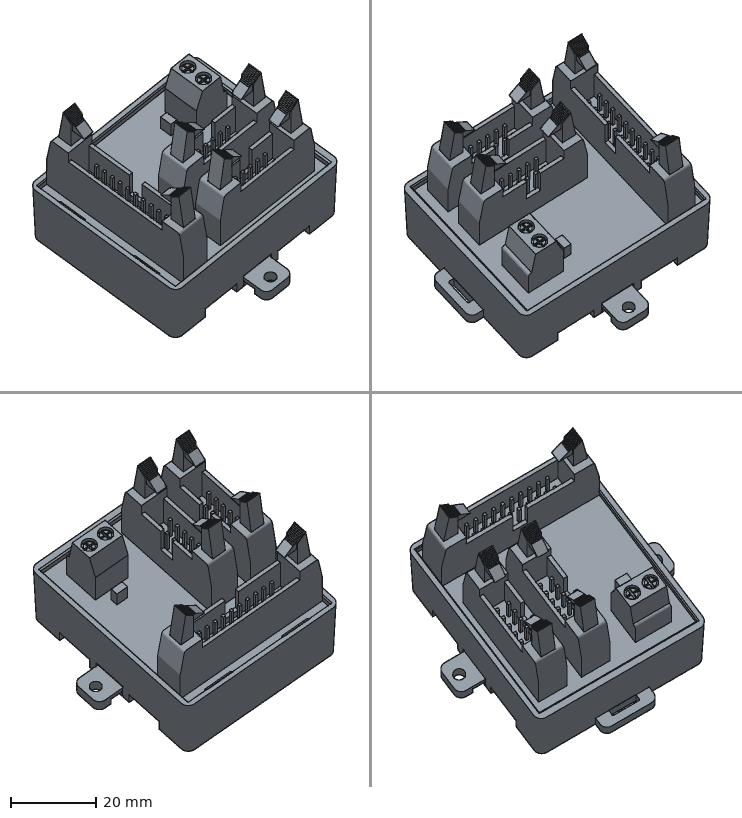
import cadquery as cq
import math

BOX_X = 47.75
BOX_Y = 56.05
BOX_H = 18.1
WALL_DRAFT = 0.45
CORNER_R = 2.2
FLOOR_TOP = 4.5

MOUTH_X = 45.1
MOUTH_FRONT = -26.75
MOUTH_BACK = 26.3
FLARE_H = 0.45

PLATE_X = 44.5
PLATE_FRONT = -26.5
PLATE_BACK = 25.9
PLATE_TOP = 16.25
PLATE_T = 1.55

LUG_WIDTH = 8.1
LUG_X = 12.1
LUG_TIP_Y = -25.25
LUG_RISE = 1.35

FOOT_Y = 0.1
RAIL_H = 3.0
LEG_HALF = 7.0
RAIL_HALF = 17.7

HOOK_WIDTH = 15.15
FIXED_HOOK_REACH = 2.7
FIXED_HOOK_TOP = 1.5
FIXED_HOOK_TIP = 0.85
CLIP_END_Y = 31.5
CLIP_HOOK_REACH = 1.85
CLIP_HOOK_TOP = 1.65
CLIP_HOOK_CHAMFER = 0.8
CLIP_WINDOW_X = 7.65
CLIP_WINDOW_Y0 = 27.6
CLIP_WINDOW_Y1 = 29.3
CLIP_WINDOW_R = 0.3

TAB_END_X = 30.8
TAB_WIDTH = 9.0
TAB_R = 2.0
TAB_HOLE_D = 3.0
TAB_HOLE_X = 27.7
TAB_NOTCH_X = 26.85
TAB_NOTCH_H = 1.7
TAB_NOTCH_DEPTH = 1.1
RECESS_WIDTH = 9.5
RECESS_TOP = 3.9
RECESS_DEPTH = 0.5

HEADER_W = 8.0
SMALL_HEADER_L = 32.05
SMALL_HEADER_COLUMNS = 5
SMALL_HEADER_Y = 6.8
SMALL_HEADER_XS = (4.3, 16.4)
LARGE_HEADER_L = PLATE_X
LARGE_HEADER_COLUMNS = 10
LARGE_HEADER_Y = -19.65
TAPER_START_Z = 25.3
TOWER_TOP = 33.15
TOWER_TAPER = 1.35
TOWER_L = 7.0
TOWER_R = 1.05
HEADER_WALL = 1.05
HEADER_WALL_TOP = 29.95
HEADER_FLOOR = 21.05
KEY_FLOOR = 23.05
KEY_WIDTH = 4.1
PIN_PITCH = 2.5
PIN_ROW_GAP = 3.2
PIN_SIZE = 0.75
PIN_TOP = 27.05

LEVER_WIDTH = 4.0
LEVER_FOOT = 2.0
LEVER_TIP = 3.45
LEVER_BACK = 6.0
LEVER_TOP = 43.25
BEAK_WIDTH = 3.1
BEAK_END = 9.8
BEAK_Z = 38.3
LATCH_SLOPE = (LEVER_TOP - BEAK_Z) / (BEAK_END - LEVER_TIP)
GRIP_STEPS = 10
GRIP_START = 0.25
GRIP_LENGTH = 3.3
GRIP_DEPTH = 0.25

TERMINAL_X0 = -17.6
TERMINAL_X1 = -7.4
TERMINAL_FRONT = 11.7
TERMINAL_BACK = 22.05
TERMINAL_TOP = 30.2
TERMINAL_TOP_FRONT = 13.8
TERMINAL_TOP_BACK = 19.9
FRONT_SLOPE_Z = 24.75
STEP_Z = 23.7
STEP_R = 1.0
SCREW_PITCH = 5.1
SCREW_Y = 16.8
SCREW_D = 3.8
SCREW_SINK = 0.6
SCREW_CROWN = 0.4
SCREW_BEVEL = 0.5
SLOT_WIDE = 0.6
SLOT_NARROW = 0.45
SLOT_DEPTH = 0.6

LAMP_X = 3.3
LAMP_Y = 2.05
LAMP_CENTER = (-13.1, 8.3)
LAMP_TOP = 20.3


def block(x0, x1, y0, y1, z0, z1):
    """Axis-aligned box between two corners."""
    return cq.Workplane("XY").box(x1 - x0, y1 - y0, z1 - z0, centered=False).translate((x0, y0, z0))


def prism_along_x(points, x0, x1):
    """Extrude a (y, z) polygon from x0 to x1."""
    return cq.Workplane("YZ").polyline(points).close().extrude(x1 - x0).translate((x0, 0, 0))


def prism_along_y(points, y_center, width):
    """Extrude an (x, z) polygon to both sides of y_center."""
    profile = cq.Workplane("XZ").polyline(points).close()
    return profile.extrude(width / 2, both=True).translate((0, y_center, 0))


def mirror_x(shape):
    return shape.mirror("YZ")


def drafted_box():
    bottom = cq.Sketch().rect(BOX_X - 2 * WALL_DRAFT, BOX_Y - 2 * WALL_DRAFT).vertices().fillet(CORNER_R)
    rim = cq.Sketch().rect(BOX_X, BOX_Y).vertices().fillet(CORNER_R)
    return cq.Workplane("XY").placeSketch(bottom, rim.moved(cq.Location(cq.Vector(0, 0, BOX_H)))).loft()


def cavity():
    """Straight pocket that flares into a bevelled mouth at the rim."""
    flare_z = BOX_H - FLARE_H
    pocket = block(-PLATE_X / 2, PLATE_X / 2, PLATE_FRONT, PLATE_BACK, FLOOR_TOP, flare_z)
    flare = (
        cq.Workplane("XY", origin=(0, 0, flare_z))
        .center(0, (PLATE_FRONT + PLATE_BACK) / 2)
        .rect(PLATE_X, PLATE_BACK - PLATE_FRONT)
        .workplane(offset=FLARE_H)
        .center(0, (MOUTH_FRONT + MOUTH_BACK - PLATE_FRONT - PLATE_BACK) / 2)
        .rect(MOUTH_X, MOUTH_BACK - MOUTH_FRONT)
        .loft(ruled=True)
    )
    return pocket.union(flare)


def snap_lug(x_center):
    """Wedge that overhangs the plate's front edge."""
    wedge = [(MOUTH_FRONT, PLATE_TOP), (LUG_TIP_Y, PLATE_TOP), (MOUTH_FRONT, PLATE_TOP + LUG_RISE)]
    return prism_along_x(wedge, x_center - LUG_WIDTH / 2, x_center + LUG_WIDTH / 2)


def rail_channel(side):
    """Channel across the whole underside, on the +Y (1) or -Y (-1) side of the foot."""
    near, far = sorted((FOOT_Y + side * LEG_HALF, FOOT_Y + side * RAIL_HALF))
    return block(-BOX_X / 2, BOX_X / 2, near, far, 0, RAIL_H)


def fixed_hook():
    root = FOOT_Y - RAIL_HALF
    tip = root + FIXED_HOOK_REACH
    points = [(root, 0), (tip, FIXED_HOOK_TIP), (tip, FIXED_HOOK_TOP), (root, FIXED_HOOK_TOP)]
    return prism_along_x(points, -HOOK_WIDTH / 2, HOOK_WIDTH / 2)


def clip_slot():
    return block(-HOOK_WIDTH / 2, HOOK_WIDTH / 2, FOOT_Y + RAIL_HALF, BOX_Y / 2, 0, RAIL_H)


def tab_recess():
    """Shallow wall recess around the left tab, with a sloping ceiling."""
    wall = -BOX_X / 2
    inner = wall + WALL_DRAFT + RECESS_DEPTH
    ceiling_x = wall + WALL_DRAFT * (1 - RECESS_TOP / BOX_H)
    points = [(wall, 0), (inner, 0), (inner, RAIL_H), (ceiling_x, RECESS_TOP), (wall, RECESS_TOP)]
    return prism_along_y(points, FOOT_Y, RECESS_WIDTH)


def side_tab():
    """Left mounting tab with its screw hole and the two undercut side notches."""
    y0 = FOOT_Y - TAB_WIDTH / 2
    y1 = FOOT_Y + TAB_WIDTH / 2
    tab = block(-TAB_END_X, -PLATE_X / 2, y0, y1, 0, RAIL_H).edges("|Z and <X").fillet(TAB_R)
    hole = cq.Workplane("XY").center(-TAB_HOLE_X, FOOT_Y).circle(TAB_HOLE_D / 2).extrude(RAIL_H)
    tab = tab.cut(hole)
    for y in (y0, y1 - TAB_NOTCH_DEPTH):
        tab = tab.cut(block(-TAB_NOTCH_X, -BOX_X / 2 + WALL_DRAFT, y, y + TAB_NOTCH_DEPTH, 0, TAB_NOTCH_H))
    return tab


def make_housing():
    housing = drafted_box().cut(cavity())
    for side in (-1, 1):
        housing = housing.union(snap_lug(side * LUG_X))
        housing = housing.cut(rail_channel(side))
    housing = housing.cut(clip_slot()).union(fixed_hook())
    recess = tab_recess()
    tab = side_tab()
    housing = housing.cut(recess).cut(mirror_x(recess))
    return housing.union(tab).union(mirror_x(tab))


def make_clip():
    root = FOOT_Y + RAIL_HALF
    tip = root - CLIP_HOOK_REACH
    half = HOOK_WIDTH / 2
    clip = block(-half, half, root, CLIP_END_Y, 0, RAIL_H).edges("|Z and >Y").fillet(TAB_R)
    hook_points = [
        (root, 0),
        (tip + CLIP_HOOK_CHAMFER, 0),
        (tip, CLIP_HOOK_CHAMFER),
        (tip, CLIP_HOOK_TOP),
        (root, CLIP_HOOK_TOP),
    ]
    window = block(-CLIP_WINDOW_X / 2, CLIP_WINDOW_X / 2, CLIP_WINDOW_Y0, CLIP_WINDOW_Y1, 0, RAIL_H)
    window = window.edges("|Z and >Y").fillet(CLIP_WINDOW_R)
    return clip.union(prism_along_x(hook_points, -half, half)).cut(window)


def grip_grooves(end):
    """V grooves across the upper part of the latch slope."""
    pitch = GRIP_LENGTH / GRIP_STEPS
    grooves = cq.Workplane("XZ")
    for i in range(GRIP_STEPS):
        start = GRIP_START + i * pitch
        x0 = end + LEVER_TIP + start
        z0 = LEVER_TOP - LATCH_SLOPE * start
        drop = LATCH_SLOPE * pitch
        triangle = [
            (x0, z0),
            (x0 + pitch, z0 - drop),
            (x0 + pitch / 2, z0 - drop / 2 - GRIP_DEPTH),
        ]
        grooves = grooves.polyline(triangle).close()
    return grooves.extrude(LEVER_WIDTH / 2, both=True)


def latch(end):
    """Lever with an inward beak, rooted in the tower at the -X end of a header."""
    back_x = end + LEVER_BACK
    back_z = LEVER_TOP - LATCH_SLOPE * (LEVER_BACK - LEVER_TIP)
    lever_points = [
        (end + LEVER_FOOT, HEADER_WALL_TOP),
        (back_x, HEADER_WALL_TOP),
        (back_x, back_z),
        (end + LEVER_TIP, LEVER_TOP),
        (end + LEVER_FOOT, TOWER_TOP),
    ]
    beak_points = [(back_x, BEAK_Z), (end + BEAK_END, BEAK_Z), (back_x, back_z)]
    lever = prism_along_y(lever_points, 0, LEVER_WIDTH).union(prism_along_y(beak_points, 0, BEAK_WIDTH))
    return lever.cut(grip_grooves(end))


def header(length, columns):
    """Latching pin header lying along X, centred on the origin, with its key slot on the +Y side."""
    end = -length / 2
    shoulder = end + TOWER_TAPER
    outline = [
        (end, PLATE_TOP),
        (-end, PLATE_TOP),
        (-end, TAPER_START_Z),
        (-shoulder, TOWER_TOP),
        (shoulder, TOWER_TOP),
        (end, TAPER_START_Z),
    ]
    body = prism_along_y(outline, 0, HEADER_W)
    body = body.faces(">Z").edges("|Y").fillet(TOWER_R)

    inner = length / 2 - TOWER_L
    half_w = HEADER_W / 2
    cavity_half = half_w - HEADER_WALL
    body = body.cut(block(-inner, inner, -half_w, half_w, HEADER_WALL_TOP, TOWER_TOP))
    body = body.cut(block(-inner, inner, -cavity_half, cavity_half, HEADER_FLOOR, HEADER_WALL_TOP))
    body = body.cut(block(-KEY_WIDTH / 2, KEY_WIDTH / 2, 0, half_w, KEY_FLOOR, HEADER_WALL_TOP))

    pins = (
        cq.Workplane("XY", origin=(0, 0, HEADER_FLOOR))
        .rarray(PIN_PITCH, PIN_ROW_GAP, columns, 2)
        .rect(PIN_SIZE, PIN_SIZE)
        .extrude(PIN_TOP - HEADER_FLOOR)
    )
    left_latch = latch(end)
    return body.union(pins).union(left_latch).union(mirror_x(left_latch))


def screw_recess(x):
    """Round recess that leaves a bevelled, cross-slotted screw head at its bottom."""
    crown_z = TERMINAL_TOP - SCREW_SINK
    edge_z = crown_z - SCREW_CROWN
    radius = SCREW_D / 2
    recess = cq.Workplane("XY", origin=(x, SCREW_Y, edge_z)).circle(radius).extrude(TERMINAL_TOP - edge_z)
    head = (
        cq.Workplane("XY", origin=(x, SCREW_Y, edge_z))
        .circle(radius)
        .workplane(offset=SCREW_CROWN)
        .circle(radius - SCREW_BEVEL)
        .loft()
    )
    slot_plane = cq.Workplane("XY", origin=(x, SCREW_Y, crown_z - SLOT_DEPTH))
    long_slot = slot_plane.rect(SLOT_WIDE, SCREW_D).extrude(SLOT_DEPTH)
    cross_slot = slot_plane.rect(SCREW_D, SLOT_NARROW).extrude(SLOT_DEPTH)
    slots = long_slot.union(cross_slot)
    round_limit = slot_plane.circle(radius).extrude(SLOT_DEPTH)
    return recess.cut(head).union(slots.intersect(round_limit))


def terminal_block():
    arc_offset = STEP_R * (1 - math.sqrt(0.5))
    profile = (
        cq.Workplane("YZ")
        .moveTo(TERMINAL_FRONT, PLATE_TOP)
        .lineTo(TERMINAL_FRONT, FRONT_SLOPE_Z)
        .lineTo(TERMINAL_TOP_FRONT, TERMINAL_TOP)
        .lineTo(TERMINAL_TOP_BACK, TERMINAL_TOP)
        .lineTo(TERMINAL_BACK - STEP_R, STEP_Z)
        .threePointArc(
            (TERMINAL_BACK - arc_offset, STEP_Z - arc_offset),
            (TERMINAL_BACK, STEP_Z - STEP_R),
        )
        .lineTo(TERMINAL_BACK, PLATE_TOP)
        .close()
    )
    terminal = profile.extrude(TERMINAL_X1 - TERMINAL_X0).translate((TERMINAL_X0, 0, 0))
    middle = (TERMINAL_X0 + TERMINAL_X1) / 2
    for side in (-1, 1):
        terminal = terminal.cut(screw_recess(middle + side * SCREW_PITCH / 2))
    return terminal


def lamp():
    base = cq.Workplane("XY", origin=(*LAMP_CENTER, PLATE_TOP))
    return base.rect(LAMP_X, LAMP_Y).extrude(LAMP_TOP - PLATE_TOP)


def make_cover():
    cover = block(-PLATE_X / 2, PLATE_X / 2, PLATE_FRONT, PLATE_BACK, PLATE_TOP - PLATE_T, PLATE_TOP)
    small_header = header(SMALL_HEADER_L, SMALL_HEADER_COLUMNS).rotate((0, 0, 0), (0, 0, 1), 90)
    for x in SMALL_HEADER_XS:
        cover = cover.union(small_header.translate((x, SMALL_HEADER_Y, 0)))
    large_header = header(LARGE_HEADER_L, LARGE_HEADER_COLUMNS)
    cover = cover.union(large_header.translate((0, LARGE_HEADER_Y, 0)))
    return cover.union(terminal_block()).union(lamp())


housing = make_housing()
clip = make_clip()
cover = make_cover()
result = cq.Compound.makeCompound([housing.val(), clip.val(), cover.val()])